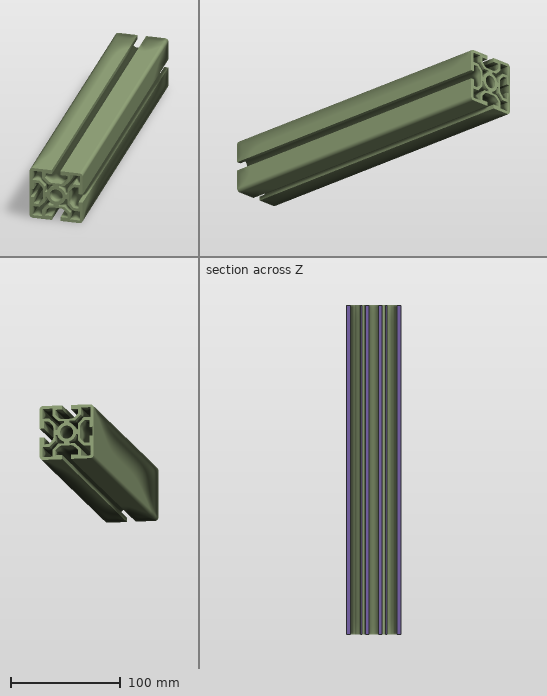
import cadquery as cq

LENGTH = 300.0
SIDE = LENGTH / 6
HALF = SIDE / 2
CORNER_RADIUS = 3.0

SLOT_OPENING = 8.0
LIP_THICKNESS = 4.0
SLOT_HALF_WIDTH = 10.5
SLOT_FLOOR = 12.3
SLOT_BEVEL = 4.5
SLOT_FLOOR_RADIUS = 5.0
COVER_THICKNESS = 1.0

OUTER_WALL = 2.7
SLOT_SIDE_WALL = 2.7
SLOT_FLOOR_WALL = 1.8
CAVITY_BEND = 7.8
SPOKE_WIDTH = 4.5
SPOKE_FILLET = 0.75
TUBE_RADIUS = 9.0
BORE_RADIUS = 6.0


def extrude_length(sketch):
    """Extrude an XZ-plane sketch over the whole length, centred on Y."""
    return sketch.extrude(LENGTH / 2, both=True)


def slot(mouth_height):
    """T-slot on the +Z side whose opening reaches up to mouth_height."""
    chamber_top = HALF - LIP_THICKNESS
    half_opening = SLOT_OPENING / 2
    half_floor = SLOT_HALF_WIDTH - SLOT_BEVEL
    outline = (
        cq.Workplane("XZ")
        .polyline([
            (-half_floor, SLOT_FLOOR),
            (half_floor, SLOT_FLOOR),
            (SLOT_HALF_WIDTH, SLOT_FLOOR + SLOT_BEVEL),
            (SLOT_HALF_WIDTH, chamber_top),
            (half_opening, chamber_top),
            (half_opening, mouth_height),
            (-half_opening, mouth_height),
            (-half_opening, chamber_top),
            (-SLOT_HALF_WIDTH, chamber_top),
            (-SLOT_HALF_WIDTH, SLOT_FLOOR + SLOT_BEVEL),
        ])
        .close()
    )
    return extrude_length(outline).faces("<Z").edges("|Y").fillet(SLOT_FLOOR_RADIUS)


def corner_cavity():
    """Hollow in the +X +Z corner, narrowing along the diagonal to the tube."""
    outer = HALF - OUTER_WALL
    side = SLOT_HALF_WIDTH + SLOT_SIDE_WALL
    floor = SLOT_FLOOR - SLOT_FLOOR_WALL
    bend_height = floor + side - CAVITY_BEND
    spoke = SPOKE_WIDTH / 2
    outline = (
        cq.Workplane("XZ")
        .polyline([
            (spoke, spoke),
            (spoke, floor),
            (CAVITY_BEND, floor),
            (side, bend_height),
            (side, outer),
            (outer, outer),
            (outer, side),
            (bend_height, side),
            (floor, CAVITY_BEND),
            (floor, spoke),
        ])
        .close()
    )
    tube = extrude_length(cq.Workplane("XZ").circle(TUBE_RADIUS))
    cavity = extrude_length(outline).cut(tube)
    cavity = cavity.faces("<X").edges("|Y").fillet(SPOKE_FILLET)
    return cavity.faces("<Z").edges("|Y").fillet(SPOKE_FILLET)


def turned(body, quarter_turns):
    """Turn a body about the Y axis; one quarter turn takes +Z to +X."""
    return body.rotate((0, 0, 0), (0, 1, 0), 90 * quarter_turns)


result = cq.Workplane("XY").box(SIDE, LENGTH, SIDE).edges("|Y").fillet(CORNER_RADIUS)

for quarter in range(4):
    result = result.cut(turned(corner_cavity(), quarter))

for quarter in range(3):
    result = result.cut(turned(slot(HALF), quarter))

result = result.cut(turned(slot(HALF - COVER_THICKNESS), 3))

result = result.cut(extrude_length(cq.Workplane("XZ").circle(BORE_RADIUS)))